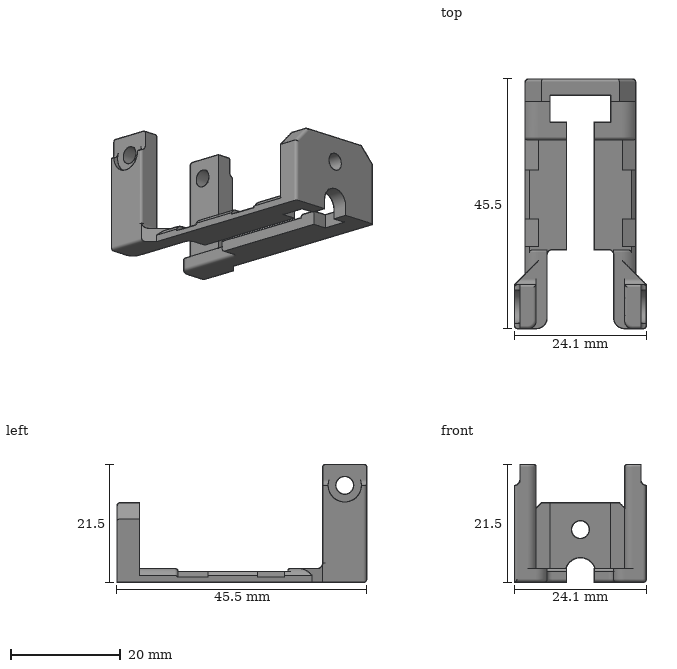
import cadquery as cq


total_length = 45.54
foot_half_width = 24.05 / 2
total_height = 21.53
edge_radius = 0.6
bore_diameter = 3.2

rail_half_width = 10.1
slot_half_width = 2.5
raised_height = 2.55
floor_height = 2.0
rail_end = 31.14
rail_chamfer = 1.29
rail_blend_radius = 2.83
recess_start = 11.14
rear_step_radius = raised_height - floor_height
front_step_radius = 0.45

pad_inner_x = 7.64
pad_outer_height = 1.0
front_pad_start = 25.57
front_pad_end = 30.57
rear_pad_end = 16.57

wall_thickness = 4.14
wall_height = 14.55
wall_corner_chamfer = 3.0
wall_bore_height = 9.63
pocket_half_width = 5.5
pocket_start = 3.0
pocket_end = 7.86
arch_radius = 2.75
arch_centre_height = 1.74

foot_inner_x = 6.05
foot_corner_radius = 2.0
foot_inner_blend = 0.9
column_start = 37.5
column_inner_x = foot_inner_x + foot_corner_radius
column_outer_x = 11.05
column_corner_radius = 1.5
column_top_radius = 0.5
column_base_radius = 1.0
column_rear_radius = 0.45
column_bore_height = 17.7
relief_radius = 3.03
ledge_radius = 1.0
column_middle = (column_start + total_length) / 2


def box(x_range, depth_range, z_range):
    """Box between two X positions, two depths behind the rear face (towards -Y) and two heights."""
    width = x_range[1] - x_range[0]
    depth = depth_range[1] - depth_range[0]
    height = z_range[1] - z_range[0]
    corner = (x_range[0], -depth_range[1], z_range[0])
    return cq.Workplane("XY").box(width, depth, height, centered=False).translate(corner)


def section_prism(points, start, end):
    """Extrude an X-Z outline from one depth to a greater one."""
    return cq.Workplane("XZ", origin=(0, -start, 0)).polyline(points).close().extrude(end - start)


def shape_outer_edge(rail):
    """Chamfer the outer top edge of a rail and blend the chamfer into the top face."""
    rail = rail.edges("|Y and >X and >Z").chamfer(rail_chamfer)
    blend_edge = cq.selectors.NearestToPointSelector(
        (rail_half_width - rail_chamfer, rail.val().Center().y, raised_height)
    )
    return rail.edges("|Y").edges(blend_edge).fillet(rail_blend_radius)


def profile_edges(block, face):
    """Edges of an end face of a block that follow its top profile."""
    square_edges = block.faces(face).edges("|Z or <Z").vals()
    return [
        edge
        for edge in block.faces(face).edges().vals()
        if not any(edge.isSame(other) for other in square_edges)
    ]


def make_rear_block():
    """Raised rear stretch of the rail, rounded where it steps down to the recess."""
    block = box((slot_half_width, rail_half_width), (pocket_start, recess_start), (0, raised_height))
    block = shape_outer_edge(block)
    return block.newObject(profile_edges(block, "<Y")).fillet(rear_step_radius)


def make_front_block():
    """Raised front stretch of the rail beside the foot, rounded where it steps down to the recess."""
    block = box((foot_inner_x, rail_half_width), (rail_end, column_start), (0, raised_height))
    block = shape_outer_edge(block)
    return block.newObject(profile_edges(block, ">Y")).fillet(front_step_radius)


def cut_pad(rail, start, end):
    """Slope the outer rail edge down and away from the recess floor."""
    outline = [
        (pad_inner_x, floor_height),
        (rail_half_width, pad_outer_height),
        (rail_half_width, floor_height),
    ]
    return rail.cut(section_prism(outline, start, end))


def make_low_rail():
    """Rail at the recess floor height, with its sloped pads, reaching under both raised blocks."""
    start = recess_start - rear_step_radius
    rail = box((slot_half_width, rail_half_width), (start, rail_end), (0, raised_height))
    tail = box((foot_inner_x, rail_half_width), (rail_end, column_start), (0, raised_height))
    inner_corner = cq.selectors.NearestToPointSelector((foot_inner_x, -rail_end, raised_height / 2))
    rail = rail.union(tail).edges("|Z").edges(inner_corner).fillet(foot_inner_blend)
    rail = shape_outer_edge(rail)
    rail = rail.cut(box((0, rail_half_width), (start, column_start), (floor_height, raised_height)))
    rail = cut_pad(rail, start, rear_pad_end)
    return cut_pad(rail, front_pad_start, front_pad_end)


def make_foot_plate(height):
    """Foot outline, flaring outwards at 45 degrees to the full width, extruded from the underside."""
    flare = foot_half_width - pad_inner_x
    outline = [
        (foot_inner_x, -column_start + flare),
        (pad_inner_x, -column_start + flare),
        (foot_half_width, -column_start),
        (foot_half_width, -total_length),
        (foot_inner_x, -total_length),
    ]
    plate = cq.Workplane("XY").polyline(outline).close().extrude(height)
    return plate.edges("|Z and <X and <Y").fillet(foot_corner_radius)


def make_column():
    """Upright column with rounded corners and top edges."""
    column = box((column_inner_x, column_outer_x), (column_start, total_length), (0, total_height))
    column = column.edges("|Z and <X and <Y").fillet(column_corner_radius)
    outer_top = cq.selectors.NearestToPointSelector((column_outer_x, -column_middle, total_height))
    top_edges = column.faces(">Z").edges().vals()
    outer_edge = column.edges(outer_top).val()
    rounded = [edge for edge in top_edges if not edge.isSame(outer_edge)]
    return column.newObject(rounded).fillet(column_top_radius)


def make_base_blend():
    """Concave blend between the rear face of the column and the foot."""
    blend_top = raised_height + column_base_radius
    blend = (
        cq.Workplane("YZ", origin=(column_inner_x, 0, 0))
        .moveTo(-column_start, raised_height)
        .lineTo(-column_start + column_base_radius, raised_height)
        .radiusArc((-column_start, blend_top), column_base_radius)
        .lineTo(-column_start, raised_height)
        .close()
        .extrude(foot_half_width - column_inner_x)
    )
    return blend.intersect(make_foot_plate(blend_top))


def make_cheek():
    """Thicker outer side of the column, topped by a concave ledge around the bore."""
    cheek_top = column_bore_height + ledge_radius
    cheek = (
        cq.Workplane("XZ", origin=(0, -column_start, 0))
        .moveTo(column_outer_x, 0)
        .lineTo(foot_half_width, 0)
        .lineTo(foot_half_width, column_bore_height)
        .radiusArc((column_outer_x, cheek_top), ledge_radius)
        .close()
        .extrude(total_length - column_start)
    )
    corner_base = raised_height + column_base_radius
    corner = (
        cq.Workplane("XY", origin=(0, 0, corner_base))
        .moveTo(foot_half_width, -column_start)
        .lineTo(foot_half_width - column_rear_radius, -column_start)
        .radiusArc((foot_half_width, -column_start - column_rear_radius), column_rear_radius)
        .lineTo(foot_half_width, -column_start)
        .close()
        .extrude(cheek_top - corner_base)
    )
    relief = (
        cq.Workplane("YZ", origin=(column_outer_x, 0, 0))
        .center(-column_middle, column_bore_height)
        .circle(relief_radius)
        .extrude(foot_half_width - column_outer_x)
    )
    return cheek.cut(corner).cut(relief)


def make_arm(round_outer_underside):
    """Rail, foot and column of the +X side, with its front and underside edges rounded."""
    arm = make_low_rail().union(make_front_block()).union(make_foot_plate(raised_height))
    arm = arm.union(make_column()).union(make_base_blend()).union(make_cheek())
    bore = (
        cq.Workplane("YZ")
        .center(-column_middle, column_bore_height)
        .circle(bore_diameter / 2)
        .extrude(foot_half_width)
    )
    arm = round_arm_edges(arm.cut(bore), round_outer_underside)
    return arm.union(make_rear_block())


def round_arm_edges(arm, round_outer_underside):
    """Round the outer front edge and the underside from the foot front round to the rail end."""
    rounded = arm.edges("|Z and >X and <Y").vals()
    rounded += [edge for edge in arm.faces("<Z").edges().vals() if is_front_underside(edge)]
    if round_outer_underside:
        rounded += arm.faces("<Z").edges(">X").vals()
    return arm.newObject(rounded).fillet(edge_radius)


def is_front_underside(edge):
    """True for underside edges facing the front or the gap between the feet."""
    centre = edge.Center()
    on_front = centre.y < -total_length + edge_radius
    beside_gap = centre.y < -rail_end + edge_radius and centre.x < column_inner_x
    return on_front or beside_gap


def make_wall():
    """Rear wall with bevelled top corners and rounded rear edges."""
    wall = box((-rail_half_width, rail_half_width), (0, wall_thickness), (0, wall_height))
    wall = wall.edges("|Y and >Z").chamfer(wall_corner_chamfer)
    bottom_edge = wall.faces(">Y").edges("<Z").val()
    rear_edges = [edge for edge in wall.faces(">Y").edges().vals() if not edge.isSame(bottom_edge)]
    return wall.newObject(rear_edges).fillet(edge_radius)


def cut_wall_openings(body):
    """Pocket in front of the wall, the screw bore and the arched passage below it."""
    pocket = box((-pocket_half_width, pocket_half_width), (pocket_start, pocket_end), (0, wall_height))
    bore = (
        cq.Workplane("XZ")
        .center(0, wall_bore_height)
        .circle(bore_diameter / 2)
        .extrude(wall_thickness)
    )
    arch = (
        cq.Workplane("XZ")
        .center(0, arch_centre_height)
        .circle(arch_radius)
        .extrude(wall_thickness)
    )
    passage = box((-arch_radius, arch_radius), (0, wall_thickness), (0, arch_centre_height))
    return body.cut(pocket).cut(bore).cut(arch).cut(passage)


right_arm = make_arm(round_outer_underside=True)
left_arm = make_arm(round_outer_underside=False).mirror("YZ")
result = cut_wall_openings(make_wall().union(right_arm).union(left_arm))